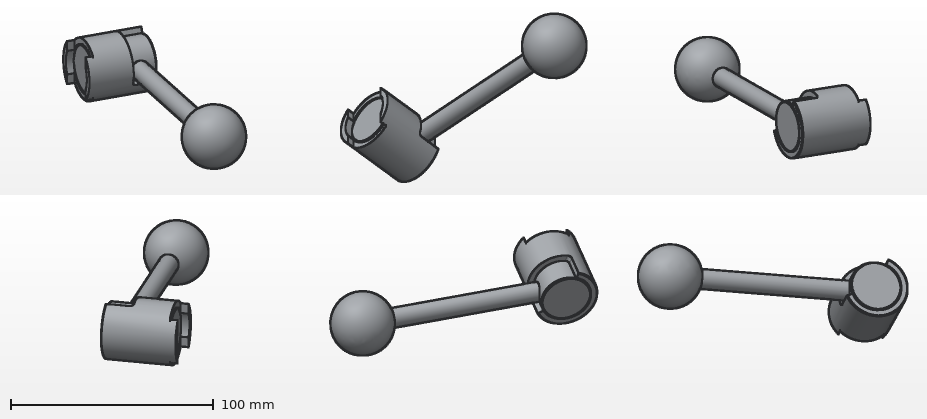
import cadquery as cq
import math

total_length = 134.0
hub_diameter = 32.0
ball_diameter = hub_diameter
core_diameter = 25.5
rod_diameter = 10.0
hub_rear = 9.0
hub_length = 37.9
hub_chamfer = 0.4
core_chamfer = 0.5
tab_depth = 4.0
tab_gap = 22.1
lever_swing = 90.0
window_corner_radius = 1.7

hub_radius = hub_diameter / 2
ball_radius = ball_diameter / 2
core_radius = core_diameter / 2
rod_radius = rod_diameter / 2
hub_front = hub_rear - hub_length
core_front = hub_front + tab_depth
core_length = hub_rear - core_front
ball_x = total_length - hub_radius - ball_radius
window_margin = math.degrees(math.asin(rod_radius / core_radius))


def cylinder_along_y(radius, rear, length):
    """Cylinder on the hub axis, extending from its rear face toward -Y."""
    return cq.Workplane("XZ", origin=(0, rear, 0)).circle(radius).extrude(length)


def swing_window():
    """Sector through the hub wall, open at the rear, with rounded front corners."""
    reach = 2 * hub_diameter
    start = math.radians(-window_margin)
    middle = math.radians(lever_swing / 2)
    end = math.radians(lever_swing + window_margin)
    sector = (
        cq.Workplane("XZ", origin=(0, hub_rear, 0))
        .moveTo(0, 0)
        .lineTo(reach * math.cos(start), reach * math.sin(start))
        .threePointArc(
            (reach * math.cos(middle), reach * math.sin(middle)),
            (reach * math.cos(end), reach * math.sin(end)),
        )
        .close()
        .extrude(hub_rear + rod_radius)
    )
    sector = sector.faces("<Y").edges("%LINE").fillet(window_corner_radius)
    return sector.cut(cylinder_along_y(core_radius, hub_rear, hub_length))


def hub():
    """Sleeve with two front tabs and a window for the swinging lever."""
    body = cylinder_along_y(hub_radius, hub_rear, hub_length)
    body = body.faces(">Y").edges().chamfer(hub_chamfer)
    body = body.cut(cylinder_along_y(core_radius, hub_rear, hub_length))
    gap = cq.Workplane("XY").box(tab_gap, tab_depth, hub_diameter)
    body = body.cut(gap.translate((0, hub_front + tab_depth / 2, 0)))
    return body.cut(swing_window())


def core():
    """Chamfered pin filling the sleeve down to the foot of the tabs."""
    pin = cylinder_along_y(core_radius, hub_rear, core_length)
    return pin.faces("<Y or >Y").edges().chamfer(core_chamfer)


def lever():
    """Rod from the hub axis to a ball knob."""
    rod = cq.Workplane("YZ").circle(rod_radius).extrude(ball_x)
    ball = cq.Workplane("YZ", origin=(ball_x, 0, 0)).sphere(ball_radius)
    return rod.union(ball)


result = hub().union(core()).union(lever())